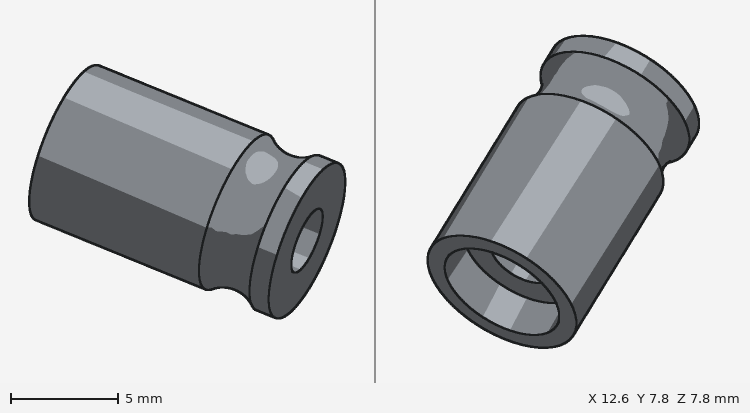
import cadquery as cq
import math

length = 12.56
outer_diameter = 7.8
bore_diameter = 3.2
counterbore_diameter = 6.0
counterbore_depth = 2.0
flange_width = 1.0
groove_width = 2.65
groove_radius = 2.0

outer_radius = outer_diameter / 2
half_groove = groove_width / 2
groove_end = length / 2 - flange_width
groove_middle = groove_end - half_groove
groove_start = groove_end - groove_width
groove_depth = groove_radius - math.sqrt(groove_radius**2 - half_groove**2)

body = (
    cq.Workplane("XY")
    .moveTo(-length / 2, 0)
    .lineTo(-length / 2, outer_radius)
    .lineTo(groove_start, outer_radius)
    .threePointArc((groove_middle, outer_radius - groove_depth), (groove_end, outer_radius))
    .lineTo(length / 2, outer_radius)
    .lineTo(length / 2, 0)
    .close()
    .revolve(360, (0, 0, 0), (1, 0, 0))
)

end_face = cq.Workplane("YZ", origin=(-length / 2, 0, 0))
bore = end_face.circle(bore_diameter / 2).extrude(length)
counterbore = end_face.circle(counterbore_diameter / 2).extrude(counterbore_depth)

result = body.cut(bore).cut(counterbore)